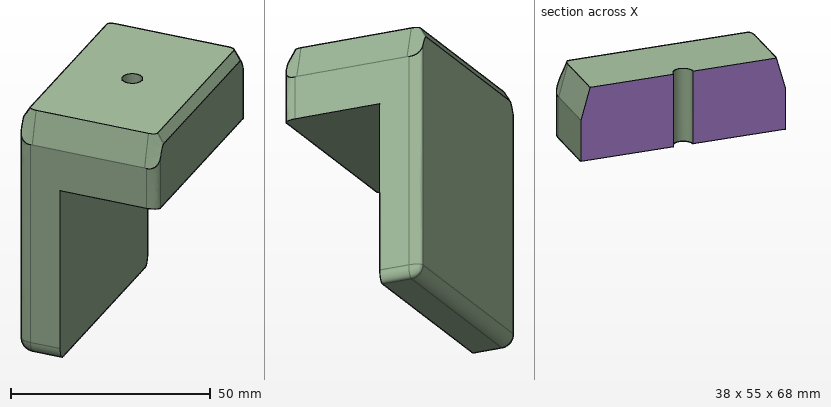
import cadquery as cq

length = 38.0
width = 55.0
height = 68.0

leg_thickness = 11.3
flange_thickness = 20.0
hole_diameter = 5.2

round_radius = 3.2
y_squash = 0.5

end_inset = 1.6
end_drop = 2.7
side_inset = 2.45
side_drop = 8.65
corner_from_end = 3.7
corner_from_side = 3.55


def rounded_block():
    """Block with rounded upright and bottom edges, squashed in Y after filleting."""
    block = (
        cq.Workplane("XY")
        .box(length, width / y_squash, height, centered=(True, True, False))
        .edges("|Z or <Z")
        .fillet(round_radius)
    )
    squash = cq.Matrix([[1, 0, 0, 0], [0, y_squash, 0, 0], [0, 0, 1, 0]])
    return cq.Workplane(block.val().transformGeometry(squash))


def taper_outline(depth):
    """Outline of the tapered top at a depth below the top face, with elliptical corners."""
    half_x = length / 2 - end_inset + depth * end_inset / end_drop
    half_y = width / 2 - side_inset + depth * side_inset / side_drop
    axis_x = length / 2 - corner_from_end
    axis_y = width / 2 - corner_from_side
    radius_x = half_x - axis_x
    radius_y = half_y - axis_y
    edges = []
    for x_sign, y_sign, start in ((1, 1, 0), (-1, 1, 90), (-1, -1, 180), (1, -1, 270)):
        center = cq.Vector(x_sign * axis_x, y_sign * axis_y, height - depth)
        edges.append(
            cq.Edge.makeEllipse(
                radius_x, radius_y, center, cq.Vector(0, 0, 1), cq.Vector(1, 0, 0), start, start + 90
            )
        )
    sides = [
        cq.Edge.makeLine(edge.endPoint(), edges[(i + 1) % len(edges)].startPoint())
        for i, edge in enumerate(edges)
    ]
    return cq.Wire.assembleEdges([edge for pair in zip(edges, sides) for edge in pair])


def tapered_envelope():
    """Ruled solid, widening downward, that trims the top of the block."""
    return cq.Workplane(cq.Solid.makeLoft([taper_outline(height), taper_outline(0)], True))


clearance = cq.Workplane("XY").box(length, width, height - flange_thickness, centered=(False, True, False))
clearance = clearance.translate((leg_thickness - length / 2, 0, 0))

hole = cq.Workplane("XY").circle(hole_diameter / 2).extrude(height)

result = rounded_block().intersect(tapered_envelope()).cut(clearance).cut(hole)